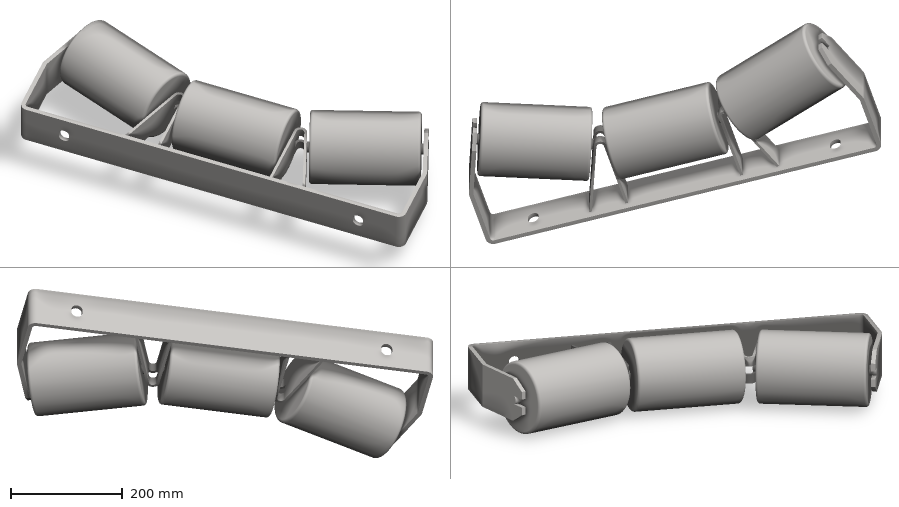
import cadquery as cq
import math


ROLLER_LENGTH = 200.0
ROLLER_RADIUS = 66.5
ROLLER_EDGE_RADIUS = 5.0
ROLLER_GAP = 5.0
SHAFT_DIAMETER = 20.0
SHAFT_SHOULDER = 4.0
SHAFT_FLATS = 15.0

TILT = 20.0
MIDDLE_ROLLER_Y = 125.0
SIDE_ROLLER_X = 231.2
SIDE_ROLLER_Y = 169.3

FRAME_WIDTH = 740.0
FRAME_HEIGHT = 80.0
FRAME_THICKNESS = 8.0
FRAME_BEND_RADIUS = 6.0
ARM_TIP = 30.0
TIP_CLIP_LENGTH = 28.0
TIP_CLIP_HEIGHT = 18.0

MOUNT_HOLE_X = 283.0
MOUNT_HOLE_WIDTH = 20.0
MOUNT_HOLE_LENGTH = 26.0

BRACKET_HEIGHT = 50.0
BRACKET_THICKNESS = 5.0
BRACKET_BEND_RADIUS = 7.0

SIN = math.sin(math.radians(TILT))
COS = math.cos(math.radians(TILT))
HALF_ROLLER = ROLLER_LENGTH / 2
PLATE_REACH = HALF_ROLLER + ROLLER_GAP
BRACKET_SHAFT_END = PLATE_REACH + BRACKET_THICKNESS
ARM_SHAFT_END = PLATE_REACH + FRAME_THICKNESS
CUT_MARGIN = 1.0


def side_point(along, across):
    """Plan point given along the right side roller's axis (outward) and across it (toward +Y)."""
    return (
        SIDE_ROLLER_X + along * COS - across * SIN,
        SIDE_ROLLER_Y + along * SIN + across * COS,
    )


def place_side(shape):
    """Move a shape built along X at the origin onto the right side roller's axis."""
    return shape.rotate((0, 0, 0), (0, 0, 1), TILT).translate((SIDE_ROLLER_X, SIDE_ROLLER_Y, 0))


def place_middle(shape):
    """Move a shape built along X at the origin onto the middle roller's axis."""
    return shape.translate((0, MIDDLE_ROLLER_Y, 0))


def mirrored(shape):
    """The left-hand copy of a right-hand shape."""
    return shape.mirror("YZ")


def rod(diameter, start, end):
    """Cylinder along X."""
    return cq.Workplane("YZ", origin=(start, 0, 0)).circle(diameter / 2).extrude(end - start)


def flatted_rod(start, end):
    """Shaft along X with flats on top and bottom."""
    between_flats = (
        cq.Workplane("YZ", origin=(start, 0, 0))
        .rect(SHAFT_DIAMETER, SHAFT_FLATS)
        .extrude(end - start)
    )
    return rod(SHAFT_DIAMETER, start, end).intersect(between_flats)


def make_roller(inner_end, outer_end):
    """Roller along X at the origin, its shaft reaching from -inner_end to outer_end."""
    drum = rod(2 * ROLLER_RADIUS, -HALF_ROLLER, HALF_ROLLER).edges().fillet(ROLLER_EDGE_RADIUS)
    shoulder = HALF_ROLLER + SHAFT_SHOULDER
    round_shaft = rod(SHAFT_DIAMETER, -shoulder, shoulder)
    return drum.union(round_shaft).union(flatted_rod(-inner_end, outer_end))


def slot_cutter(start, end):
    """Slot from the roller axis out through the +Y end of a plate, its floor shaped like the shaft."""
    run = (
        cq.Workplane("YZ", origin=(start, 0, 0))
        .rect(ARM_TIP + CUT_MARGIN, SHAFT_FLATS)
        .extrude(end - start)
        .translate((0, (ARM_TIP + CUT_MARGIN) / 2, 0))
    )
    return flatted_rod(start, end).union(run)


def bend(body, x, y, radius):
    """Round the upright edge at plan point (x, y)."""
    reach = FRAME_HEIGHT
    around = cq.selectors.BoxSelector((x - 1, y - 1, -reach), (x + 1, y + 1, reach))
    return body.edges(around).fillet(radius)


def frame_strip():
    """Right half of the bent strip: base, upright side and tilted arm."""
    outer_x = FRAME_WIDTH / 2
    inner_x = outer_x - FRAME_THICKNESS
    outer_tip = side_point(ARM_SHAFT_END, ARM_TIP)
    inner_tip = side_point(PLATE_REACH, ARM_TIP)
    outer_knee_y = outer_tip[1] - (outer_x - outer_tip[0]) * COS / SIN
    inner_knee_y = inner_tip[1] - (inner_x - inner_tip[0]) * COS / SIN
    strip = (
        cq.Workplane("XY")
        .moveTo(0, 0)
        .lineTo(outer_x, 0)
        .lineTo(outer_x, outer_knee_y)
        .lineTo(*outer_tip)
        .lineTo(*inner_tip)
        .lineTo(inner_x, inner_knee_y)
        .lineTo(inner_x, FRAME_THICKNESS)
        .lineTo(0, FRAME_THICKNESS)
        .close()
        .extrude(FRAME_HEIGHT / 2, both=True)
    )
    outer_radius = FRAME_BEND_RADIUS + FRAME_THICKNESS
    strip = bend(strip, outer_x, 0, outer_radius)
    strip = bend(strip, outer_x, outer_knee_y, outer_radius)
    strip = bend(strip, inner_x, inner_knee_y, FRAME_BEND_RADIUS)
    return bend(strip, inner_x, FRAME_THICKNESS, FRAME_BEND_RADIUS)


def tip_clip(start, end):
    """Cutter for the sloped upper corner of an arm tip."""
    top = FRAME_HEIGHT / 2
    return (
        cq.Workplane("YZ", origin=(start, 0, 0))
        .moveTo(ARM_TIP, top)
        .lineTo(ARM_TIP - TIP_CLIP_LENGTH, top)
        .lineTo(ARM_TIP, top - TIP_CLIP_HEIGHT)
        .close()
        .extrude(end - start)
    )


def mount_hole():
    """Upright obround through the base."""
    return (
        cq.Workplane("XZ", origin=(MOUNT_HOLE_X, 0, 0))
        .slot2D(MOUNT_HOLE_LENGTH, MOUNT_HOLE_WIDTH, 90)
        .extrude(-FRAME_THICKNESS)
    )


def make_half_frame():
    start = PLATE_REACH - CUT_MARGIN
    end = ARM_SHAFT_END + CUT_MARGIN
    clip = tip_clip(start, end)
    half = frame_strip().cut(mount_hole())
    for cutter in (slot_cutter(start, end), clip, clip.mirror("XY")):
        half = half.cut(place_side(cutter))
    return half


def make_bracket():
    """Right bracket: an upright leg, a round bend and a leg tilted with the side roller."""
    inner_radius = BRACKET_BEND_RADIUS
    outer_radius = inner_radius + BRACKET_THICKNESS
    bend_reach = PLATE_REACH + outer_radius
    bend_x = bend_reach
    on_tilted_line = side_point(-bend_reach, 0)
    bend_y = on_tilted_line[1] + (on_tilted_line[0] - bend_x) * COS / SIN

    def on_bend(radius, degrees):
        angle = math.radians(degrees)
        return (bend_x + radius * math.cos(angle), bend_y + radius * math.sin(angle))

    def tilted_foot(radius):
        x, y = on_bend(radius, TILT)
        return (x + (y - FRAME_THICKNESS) * SIN / COS, FRAME_THICKNESS)

    crown = (180 + TILT) / 2
    bracket = (
        cq.Workplane("XY")
        .moveTo(bend_x - outer_radius, FRAME_THICKNESS)
        .lineTo(*on_bend(outer_radius, 180))
        .threePointArc(on_bend(outer_radius, crown), on_bend(outer_radius, TILT))
        .lineTo(*tilted_foot(outer_radius))
        .lineTo(*tilted_foot(inner_radius))
        .lineTo(*on_bend(inner_radius, TILT))
        .threePointArc(on_bend(inner_radius, crown), on_bend(inner_radius, 180))
        .lineTo(bend_x - inner_radius, FRAME_THICKNESS)
        .close()
        .extrude(BRACKET_HEIGHT / 2, both=True)
    )
    near = PLATE_REACH - CUT_MARGIN
    bracket = bracket.cut(place_middle(slot_cutter(near, bend_reach)))
    return bracket.cut(place_side(slot_cutter(-bend_reach, -near)))


half_frame = make_half_frame()
bracket = make_bracket()
middle_roller = place_middle(make_roller(BRACKET_SHAFT_END, BRACKET_SHAFT_END))
frame = half_frame.union(mirrored(half_frame))
for part in (bracket, mirrored(bracket)):
    frame = frame.union(part)
frame = frame.union(middle_roller, clean=False)

right_roller = place_side(make_roller(BRACKET_SHAFT_END, ARM_SHAFT_END))
side_rollers = [right_roller, mirrored(right_roller)]

result = cq.Compound.makeCompound(
    [frame.solids().val(), *[roller.solids().val() for roller in side_rollers]]
)